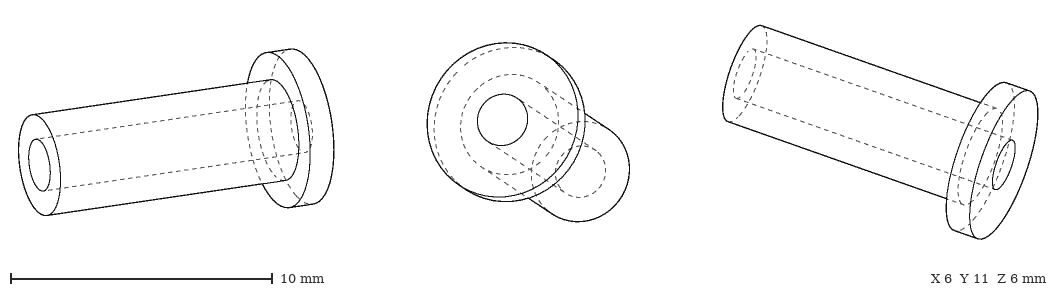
import cadquery as cq

flange_diameter = 6.0
sleeve_diameter = 3.9
bore_diameter = 2.0
total_length = 11.0
flange_thickness = 1.0
sleeve_length = total_length - flange_thickness


def cylinder_along_y(diameter, start_y, length):
    """Solid cylinder centred on the Y axis, growing toward +Y from start_y."""
    base_plane = cq.Plane(origin=(0, start_y, 0), xDir=(1, 0, 0), normal=(0, 1, 0))
    return cq.Workplane(base_plane).circle(diameter / 2).extrude(length)


sleeve = cylinder_along_y(sleeve_diameter, -sleeve_length, sleeve_length)
flange = cylinder_along_y(flange_diameter, 0, flange_thickness)
bore = cylinder_along_y(bore_diameter, -sleeve_length, total_length)

result = sleeve.union(flange).cut(bore)